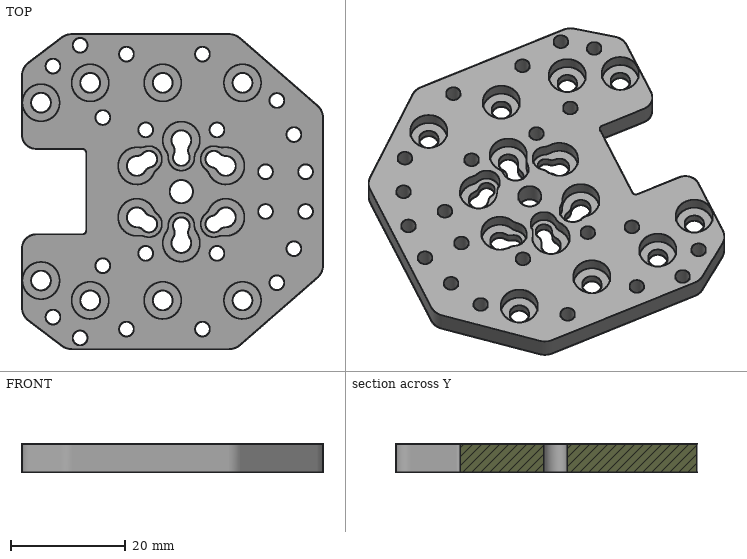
import cadquery as cq
import math

thickness = 5.0
overall_x = 52.75
overall_y = 55.2
left_x = -27.95
right_x = left_x + overall_x
half_y = overall_y / 2

left_slant_x = -20.15
left_slant_y = 21.7
right_slant_x = 9.45
right_slant_y = 14.2
outer_corner_radius = 3.0

notch_floor_x = -16.65
notch_half_width = 7.45
notch_mouth_radius = 2.55
notch_floor_radius = 0.65

center_bore_diameter = 4.05
small_hole_diameter = 2.55
small_ring_radius = 12.5
small_ring_angle = math.radians(60)
small_ring_x = small_ring_radius * math.cos(small_ring_angle)
small_ring_y = small_ring_radius * math.sin(small_ring_angle)
upper_small_holes = [
    (-22.45, 21.95),
    (-17.7, 25.6),
    (-13.75, 12.95),
    (-9.6, 24.05),
    (3.7, 24.05),
    (-small_ring_x, small_ring_y),
    (small_ring_x, small_ring_y),
    (14.75, 3.5),
    (21.75, 3.5),
    (16.7, 15.95),
    (19.7, 10.0),
]

screw_hole_diameter = 3.4
counterbore_diameter = 6.5
recess_depth = 3.0
recess_floor_z = thickness - recess_depth
screw_row_y = 19.05
upper_screw_holes = [
    (-24.55, 15.55),
    (-15.95, screw_row_y),
    (-3.25, screw_row_y),
    (10.7, screw_row_y),
]

wide_end_ring_radius = 9.0
wide_end_angle = math.radians(30)
middle_narrow_end_y = 5.95
side_narrow_end_offset = 5.7
narrow_hole_diameter = 2.85
narrow_recess_diameter = 4.6
hole_blend_radius = 1.5
recess_blend_radius = 2.0
wide_end_x = wide_end_ring_radius * math.cos(wide_end_angle)
wide_end_y = wide_end_ring_radius * math.sin(wide_end_angle)
upper_keyholes = [
    ((0, wide_end_ring_radius), (0, middle_narrow_end_y)),
    ((wide_end_x, wide_end_y), (side_narrow_end_offset, side_narrow_end_offset)),
    ((-wide_end_x, wide_end_y), (-side_narrow_end_offset, side_narrow_end_offset)),
]


def mirrored(point):
    """Return the point reflected across the X axis."""
    x, y = point
    return (x, -y)


def both_halves(points):
    """Return the points together with their reflections across the X axis."""
    return points + [mirrored(point) for point in points]


def make_plate():
    """Make the rounded plate with its side notch."""
    upper_outline = [
        (right_x, right_slant_y),
        (right_slant_x, half_y),
        (left_slant_x, half_y),
        (left_x, left_slant_y),
        (left_x, notch_half_width),
        (notch_floor_x, notch_half_width),
    ]
    lower_outline = [mirrored(point) for point in reversed(upper_outline)]
    plate = cq.Workplane("XY").polyline(upper_outline + lower_outline).close().extrude(thickness)

    slant_corners = both_halves(upper_outline[:4])
    mouth_corners = both_halves(upper_outline[4:5])
    floor_corners = both_halves(upper_outline[5:])
    plate = round_corners(plate, slant_corners, outer_corner_radius)
    plate = round_corners(plate, mouth_corners, notch_mouth_radius)
    return round_corners(plate, floor_corners, notch_floor_radius)


def round_corners(plate, corners, radius):
    """Fillet the vertical edges standing on the given corner points."""
    for x, y in corners:
        nearest_edge = cq.selectors.NearestToPointSelector((x, y, thickness / 2))
        plate = plate.edges("|Z").edges(nearest_edge).fillet(radius)
    return plate


def cylinders(points, diameter, floor_z=0):
    """Make cutters that reach from floor_z up to the top face."""
    workplane = cq.Workplane("XY").workplane(offset=floor_z)
    return workplane.pushPoints(points).circle(diameter / 2).extrude(thickness - floor_z)


def keyhole(wide_end, narrow_end, wide_diameter, narrow_diameter, blend_radius, floor_z=0):
    """Make a keyhole cutter that reaches from floor_z up to the top face."""
    wide_radius = wide_diameter / 2
    narrow_radius = narrow_diameter / 2
    run_x = narrow_end[0] - wide_end[0]
    run_y = narrow_end[1] - wide_end[1]
    length = math.hypot(run_x, run_y)

    wide_reach = wide_radius + blend_radius
    narrow_reach = narrow_radius + blend_radius
    blend_along = (length**2 + wide_reach**2 - narrow_reach**2) / (2 * length)
    blend_across = math.sqrt(wide_reach**2 - blend_along**2)

    wide_share = wide_radius / wide_reach
    narrow_share = narrow_radius / narrow_reach
    wide_tangent = (blend_along * wide_share, blend_across * wide_share)
    narrow_tangent = (length + (blend_along - length) * narrow_share, blend_across * narrow_share)

    return (
        cq.Workplane("XY")
        .moveTo(*mirrored(wide_tangent))
        .threePointArc((-wide_radius, 0), wide_tangent)
        .radiusArc(narrow_tangent, -blend_radius)
        .threePointArc((length + narrow_radius, 0), mirrored(narrow_tangent))
        .radiusArc(mirrored(wide_tangent), -blend_radius)
        .close()
        .extrude(thickness - floor_z)
        .rotate((0, 0, 0), (0, 0, 1), math.degrees(math.atan2(run_y, run_x)))
        .translate((wide_end[0], wide_end[1], floor_z))
    )


def cut_keyhole(plate, wide_end, narrow_end):
    """Cut a keyhole through the plate and its wider recess from the top."""
    opening = keyhole(
        wide_end, narrow_end, screw_hole_diameter, narrow_hole_diameter, hole_blend_radius
    )
    recess = keyhole(
        wide_end,
        narrow_end,
        counterbore_diameter,
        narrow_recess_diameter,
        recess_blend_radius,
        recess_floor_z,
    )
    return plate.cut(opening).cut(recess)


result = make_plate()
result = result.cut(cylinders([(0, 0)], center_bore_diameter))
result = result.cut(cylinders(both_halves(upper_small_holes), small_hole_diameter))

screw_holes = both_halves(upper_screw_holes)
result = result.cut(cylinders(screw_holes, screw_hole_diameter))
result = result.cut(cylinders(screw_holes, counterbore_diameter, recess_floor_z))

for wide_end, narrow_end in upper_keyholes:
    result = cut_keyhole(result, wide_end, narrow_end)
    result = cut_keyhole(result, mirrored(wide_end), mirrored(narrow_end))